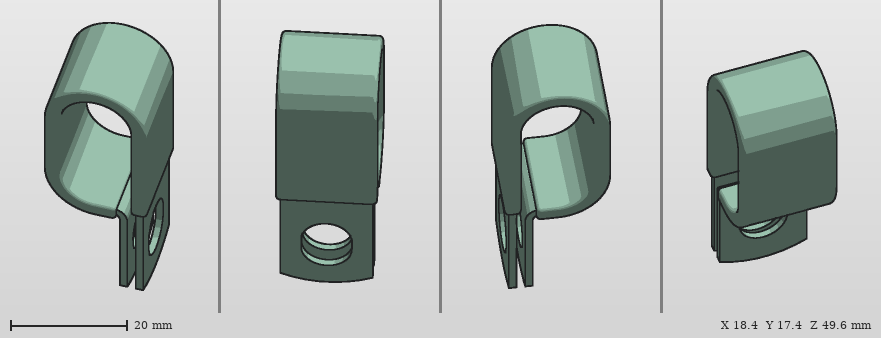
import cadquery as cq

total_height = 49.55
loop_width = 18.35
cushion_length = 17.45
wall = 2.8
edge_round = 0.75
upper_center_z = 40.4
lower_center_z = 27.8
lower_lip_x = 3.65
right_leg_end_z = 20.55

tab_inner_x = 5.6
bend_outer_radius = 2.5
hole_diameter = 8.75
hole_z = 9.45
slot_length = 10.5
tip_rise = 1.7
strap_overlap = 2.5

outer_radius = loop_width / 2
inner_radius = outer_radius - wall
strap_thickness = wall - 2 * edge_round
strap_width = cushion_length - 2 * edge_round
loop_bottom_z = lower_center_z - outer_radius


def arc_edge(path, center, radius, direction, end):
    """Continue a path along an arc whose middle lies in the given diagonal direction."""
    diagonal = radius * 0.5 ** 0.5
    middle = (center[0] + direction[0] * diagonal, center[1] + direction[1] * diagonal)
    return path.threePointArc(middle, end)


def extrude_centered(path, width):
    return path.close().extrude(width / 2, both=True)


def make_cushion():
    """J-shaped loop with all its edges rounded."""
    path = (
        cq.Workplane("XZ")
        .moveTo(outer_radius, right_leg_end_z)
        .lineTo(outer_radius, upper_center_z)
        .threePointArc((0, total_height), (-outer_radius, upper_center_z))
        .lineTo(-outer_radius, lower_center_z)
    )
    lower_center = (0, lower_center_z)
    path = arc_edge(path, lower_center, outer_radius, (-1, -1), (0, loop_bottom_z))
    path = (
        path.lineTo(lower_lip_x, loop_bottom_z)
        .lineTo(lower_lip_x, loop_bottom_z + wall)
        .lineTo(0, loop_bottom_z + wall)
    )
    path = arc_edge(path, lower_center, inner_radius, (-1, -1), (-inner_radius, lower_center_z))
    path = (
        path.lineTo(-inner_radius, upper_center_z)
        .threePointArc((0, upper_center_z + inner_radius), (inner_radius, upper_center_z))
        .lineTo(inner_radius, right_leg_end_z)
    )
    cushion = extrude_centered(path, cushion_length)

    lip_end = cq.selectors.BoxSelector(
        (lower_lip_x - edge_round, -cushion_length, loop_bottom_z - edge_round),
        (lower_lip_x + edge_round, cushion_length, loop_bottom_z + wall + edge_round),
    )
    lip_edges = cushion.edges("|Y").edges(lip_end)
    leg_edges = cushion.faces(cq.selectors.NearestToPointSelector(
        (outer_radius - wall / 2, 0, right_leg_end_z))).edges("|Y")
    side_edges = cushion.faces("<Y or >Y").edges()
    return side_edges.add(lip_edges).add(leg_edges).fillet(edge_round)


def make_bent_tab():
    """Strap leaving the lower lip and turning down."""
    strap_top_z = loop_bottom_z + edge_round + strap_thickness
    tab_outer_x = tab_inner_x - strap_thickness
    bend_center = (tab_inner_x - bend_outer_radius, strap_top_z - bend_outer_radius)
    bend_inner_radius = bend_outer_radius - strap_thickness
    buried_x = bend_center[0] - strap_overlap
    path = (
        cq.Workplane("XZ")
        .moveTo(buried_x, strap_top_z)
        .lineTo(bend_center[0], strap_top_z)
    )
    path = arc_edge(path, bend_center, bend_outer_radius, (1, 1), (tab_inner_x, bend_center[1]))
    path = path.lineTo(tab_inner_x, 0).lineTo(tab_outer_x, 0).lineTo(tab_outer_x, bend_center[1])
    path = arc_edge(
        path, bend_center, bend_inner_radius, (1, 1),
        (bend_center[0], strap_top_z - strap_thickness),
    )
    path = path.lineTo(buried_x, strap_top_z - strap_thickness)
    return extrude_centered(path, strap_width)


def make_straight_tab():
    """Strap continuing straight down from the right leg."""
    return cq.Workplane("XY").box(
        strap_thickness, strap_width, right_leg_end_z + strap_overlap, centered=(True, True, False)
    ).translate((outer_radius - wall / 2, 0, 0))


def make_tab_envelope():
    """Side outline of the tabs with its curved tip."""
    half_width = strap_width / 2
    return (
        cq.Workplane("YZ")
        .moveTo(-half_width, tip_rise)
        .threePointArc((0, 0), (half_width, tip_rise))
        .lineTo(half_width, total_height)
        .lineTo(-half_width, total_height)
        .close()
        .extrude(loop_width, both=True)
    )


def make_bolt_hole():
    return cq.Workplane("YZ").center(0, hole_z).circle(hole_diameter / 2).extrude(loop_width)


def make_bolt_slot():
    return cq.Workplane("YZ").center(0, hole_z).slot2D(slot_length, hole_diameter, 90).extrude(loop_width)


bent_tab = make_bent_tab().cut(make_bolt_hole())
straight_tab = make_straight_tab().cut(make_bolt_slot())
tabs = bent_tab.union(straight_tab).intersect(make_tab_envelope())
result = make_cushion().union(tabs)